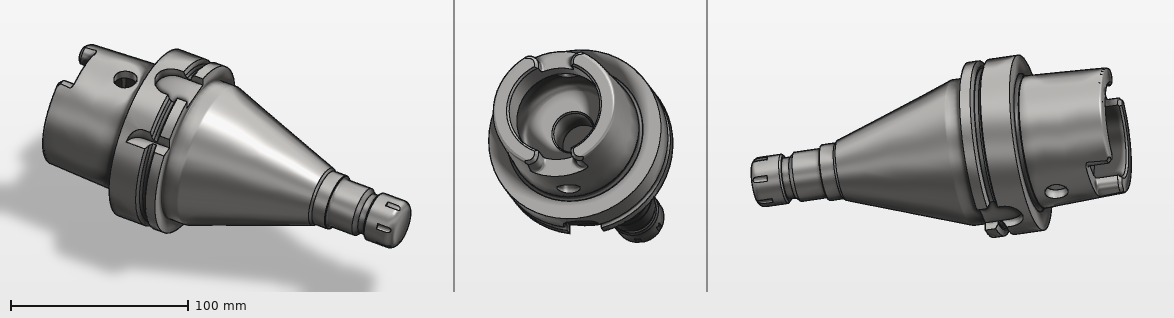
import cadquery as cq
import math


LENGTH = 210.0

LIP_RADIUS = 35.7
LIP_ROUND = 1.9
TAPER_END_X = 47.5
TAPER_END_RADIUS = 37.8
NECK_RADIUS = 37.2
NECK_BEVEL = TAPER_END_RADIUS - NECK_RADIUS
NECK_FILLET = 2.3
NECK_RECESS = 0.6

FLANGE_X = 50.0
FLANGE_RADIUS = 50.0
FLANGE_END_X = 79.0
GROOVE_START_X = 66.8
GROOVE_KNEE_X = 67.8
GROOVE_KNEE_RADIUS = 47.2
GROOVE_FLOOR_START_X = 69.0
GROOVE_FLOOR_END_X = 71.5
GROOVE_FLOOR_RADIUS = 45.8
GROOVE_STEP_RADIUS = 46.8
GROOVE_END_X = 72.9

COLLAR_RADIUS = 41.5
COLLAR_FILLET = 0.8
CONE_START_X = 89.2
CONE_START_ROUND = 3.2
CONE_END_X = 159.4
CONE_END_RADIUS = 17.2
STEP_START_X = 160.9
STEP_RADIUS = 16.0
STEP_END_X = 169.3
STEP_BEVEL = 0.5
STEP_FILLET = 1.3
BARREL_RADIUS = 14.0
BARREL_END_X = 185.2
THROAT_X = 187.7
THROAT_RADIUS = 11.8

MOUTH_CHAMFER = 1.3
BORE_RADIUS = 26.2
BORE_END_X = 19.5
CHAMBER_RADIUS = 31.5
CHAMBER_END_X = 46.5
CHAMBER_FILLET = 7.0
CENTRE_HOLE_RADIUS = 11.5
CENTRE_HOLE_CHAMFER = 0.8
CENTRE_HOLE_END_X = 69.3

CROSS_HOLE_X = 35.0
CROSS_HOLE_DIAMETER = 13.0

SLOT_HALF_WIDTH = 9.5
SLOT_CORNER_RADIUS = 5.5
SLOT_SHOULDER_Z = 32.1
SLOT_CHAMFER = 1.9
SLOT_FLOOR_FILLET = 1.7
UPPER_SLOT_DEPTH = 9.5
LOWER_SLOT_DEPTH = 14.5

KEYWAY_WIDTH = 19.7
KEYWAY_START_X = 54.8
KEYWAY_FLOOR_Z = 43.9

NOTCH_OFFSET = 31.7
NOTCH_END_RADIUS = 7.8
NOTCH_START_X = 55.0

NUT_X = 192.0
NUT_RADIUS = 14.0
NUT_CHAMFER = 1.0
NUT_ROUND = 4.5
FLUTE_COUNT = 6
FLUTE_START_X = 200.1
FLUTE_RADIUS = 1.9
FLUTE_AXIS_RADIUS = 15.0

CLEARANCE = 63.0


def revolve_about_x(profile):
    return profile.close().revolve(360, (0, 0, 0), (1, 0, 0))


def turned_holder():
    """Solid outside shape of the holder."""
    recess_floor_x = FLANGE_X + NECK_RECESS
    recess_radius = NECK_RADIUS + NECK_FILLET
    cone_angle = math.atan2(COLLAR_RADIUS - CONE_END_RADIUS, CONE_END_X - CONE_START_X)
    round_length = CONE_START_ROUND * math.tan(cone_angle / 2)
    round_end_x = CONE_START_X + round_length * math.cos(cone_angle)
    round_end_radius = COLLAR_RADIUS - round_length * math.sin(cone_angle)
    profile = (
        cq.Workplane("XY")
        .lineTo(0, LIP_RADIUS - LIP_ROUND)
        .radiusArc((LIP_ROUND, LIP_RADIUS), LIP_ROUND)
        .lineTo(TAPER_END_X, TAPER_END_RADIUS)
        .lineTo(TAPER_END_X + NECK_BEVEL, NECK_RADIUS)
        .lineTo(recess_floor_x - NECK_FILLET, NECK_RADIUS)
        .radiusArc((recess_floor_x, recess_radius), -NECK_FILLET)
        .lineTo(FLANGE_X, recess_radius)
        .lineTo(FLANGE_X, FLANGE_RADIUS)
        .lineTo(GROOVE_START_X, FLANGE_RADIUS)
        .lineTo(GROOVE_KNEE_X, GROOVE_KNEE_RADIUS)
        .lineTo(GROOVE_FLOOR_START_X, GROOVE_FLOOR_RADIUS)
        .lineTo(GROOVE_FLOOR_END_X, GROOVE_FLOOR_RADIUS)
        .lineTo(GROOVE_FLOOR_END_X, GROOVE_STEP_RADIUS)
        .lineTo(GROOVE_END_X, FLANGE_RADIUS)
        .lineTo(FLANGE_END_X, FLANGE_RADIUS)
        .lineTo(FLANGE_END_X, COLLAR_RADIUS + COLLAR_FILLET)
        .radiusArc((FLANGE_END_X + COLLAR_FILLET, COLLAR_RADIUS), -COLLAR_FILLET)
        .lineTo(CONE_START_X - round_length, COLLAR_RADIUS)
        .radiusArc((round_end_x, round_end_radius), CONE_START_ROUND)
        .lineTo(CONE_END_X, CONE_END_RADIUS)
        .lineTo(STEP_START_X, STEP_RADIUS)
        .lineTo(STEP_END_X - STEP_BEVEL, STEP_RADIUS)
        .lineTo(STEP_END_X, STEP_RADIUS - STEP_BEVEL)
        .lineTo(STEP_END_X, BARREL_RADIUS + STEP_FILLET)
        .radiusArc((STEP_END_X + STEP_FILLET, BARREL_RADIUS), -STEP_FILLET)
        .lineTo(BARREL_END_X, BARREL_RADIUS)
        .lineTo(THROAT_X, THROAT_RADIUS)
        .lineTo(NUT_X, THROAT_RADIUS)
        .lineTo(NUT_X, 0)
    )
    return revolve_about_x(profile)


def shank_bore():
    """Cavity that widens behind the lip, with a filleted floor and a blind hole at its centre."""
    profile = (
        cq.Workplane("XY")
        .lineTo(0, BORE_RADIUS + MOUTH_CHAMFER)
        .lineTo(MOUTH_CHAMFER, BORE_RADIUS)
        .lineTo(BORE_END_X, BORE_RADIUS)
        .lineTo(BORE_END_X, CHAMBER_RADIUS)
        .lineTo(CHAMBER_END_X - CHAMBER_FILLET, CHAMBER_RADIUS)
        .radiusArc((CHAMBER_END_X, CHAMBER_RADIUS - CHAMBER_FILLET), CHAMBER_FILLET)
        .lineTo(CHAMBER_END_X, CENTRE_HOLE_RADIUS + CENTRE_HOLE_CHAMFER)
        .lineTo(CHAMBER_END_X + CENTRE_HOLE_CHAMFER, CENTRE_HOLE_RADIUS)
        .lineTo(CENTRE_HOLE_END_X, CENTRE_HOLE_RADIUS)
        .lineTo(CENTRE_HOLE_END_X, 0)
    )
    return revolve_about_x(profile)


def cross_hole():
    return (
        cq.Workplane("XY", origin=(CROSS_HOLE_X, 0, 0))
        .circle(CROSS_HOLE_DIAMETER / 2)
        .extrude(CLEARANCE, both=True)
    )


def slot_outline(plane, widening):
    """Slot section: a channel whose rounded corners open onto a shoulder on each side."""
    half_width = SLOT_HALF_WIDTH + widening
    corner_radius = SLOT_CORNER_RADIUS - widening
    shoulder_y = SLOT_HALF_WIDTH + SLOT_CORNER_RADIUS
    shoulder_z = SLOT_SHOULDER_Z - widening
    corner_z = SLOT_SHOULDER_Z - SLOT_CORNER_RADIUS
    return (
        plane.moveTo(-half_width, 0)
        .lineTo(half_width, 0)
        .lineTo(half_width, corner_z)
        .radiusArc((shoulder_y, shoulder_z), corner_radius)
        .lineTo(CLEARANCE, shoulder_z)
        .lineTo(CLEARANCE, CLEARANCE)
        .lineTo(-CLEARANCE, CLEARANCE)
        .lineTo(-CLEARANCE, shoulder_z)
        .lineTo(-shoulder_y, shoulder_z)
        .radiusArc((-half_width, corner_z), corner_radius)
        .close()
    )


def drive_slot(depth):
    """Cutter for the +Z drive slot, with a filleted floor and a chamfered mouth."""
    channel = slot_outline(cq.Workplane("YZ"), 0).extrude(depth)
    channel = channel.faces(">X").edges().fillet(SLOT_FLOOR_FILLET)
    mouth = slot_outline(cq.Workplane("YZ"), SLOT_CHAMFER).workplane(offset=SLOT_CHAMFER)
    mouth = slot_outline(mouth, 0).loft(ruled=True)
    return channel.union(mouth)


def keyway():
    """Cutter for the +Z keyway: round at the shank end, open at the nut end of the flange."""
    round_x = KEYWAY_START_X + KEYWAY_WIDTH / 2
    floor = cq.Workplane("XY", origin=(0, 0, KEYWAY_FLOOR_Z))
    straight = (
        floor.center((round_x + FLANGE_END_X) / 2, 0)
        .rect(FLANGE_END_X - round_x, KEYWAY_WIDTH)
        .extrude(CLEARANCE)
    )
    round_end = floor.center(round_x, 0).circle(KEYWAY_WIDTH / 2).extrude(CLEARANCE)
    return straight.union(round_end)


def orientation_notch():
    """Cutter for a step in the flange with a flat floor, a flat wall and one rounded inner corner."""
    round_x = NOTCH_START_X + NOTCH_END_RADIUS
    return (
        cq.Workplane("XY", origin=(0, 0, NOTCH_OFFSET))
        .moveTo(FLANGE_END_X, -NOTCH_OFFSET)
        .lineTo(round_x, -NOTCH_OFFSET)
        .radiusArc((NOTCH_START_X, -NOTCH_OFFSET - NOTCH_END_RADIUS), -NOTCH_END_RADIUS)
        .lineTo(NOTCH_START_X, -CLEARANCE)
        .lineTo(FLANGE_END_X, -CLEARANCE)
        .close()
        .extrude(CLEARANCE)
    )


def make_holder():
    upper_slot = drive_slot(UPPER_SLOT_DEPTH)
    lower_slot = drive_slot(LOWER_SLOT_DEPTH).mirror("XY")
    upper_keyway = keyway()
    lower_keyway = upper_keyway.mirror("XY")
    return (
        turned_holder()
        .cut(shank_bore())
        .cut(cross_hole())
        .cut(upper_slot)
        .cut(lower_slot)
        .cut(upper_keyway)
        .cut(lower_keyway)
        .cut(orientation_notch())
    )


def make_nut():
    """Round nut with a rounded outer end and wrench flutes around its rim."""
    nut = cq.Workplane("YZ", origin=(NUT_X, 0, 0)).circle(NUT_RADIUS).extrude(LENGTH - NUT_X)
    nut = nut.faces("<X").edges().chamfer(NUT_CHAMFER)
    nut = nut.faces(">X").edges().fillet(NUT_ROUND)
    for index in range(FLUTE_COUNT):
        angle = math.radians(90 + index * 360 / FLUTE_COUNT)
        flute = (
            cq.Workplane("YZ", origin=(FLUTE_START_X, 0, 0))
            .center(FLUTE_AXIS_RADIUS * math.cos(angle), FLUTE_AXIS_RADIUS * math.sin(angle))
            .circle(FLUTE_RADIUS)
            .extrude(LENGTH - FLUTE_START_X)
        )
        nut = nut.cut(flute)
    return nut


holder = make_holder()
nut = make_nut()
result = cq.Compound.makeCompound([holder.val(), nut.val()])